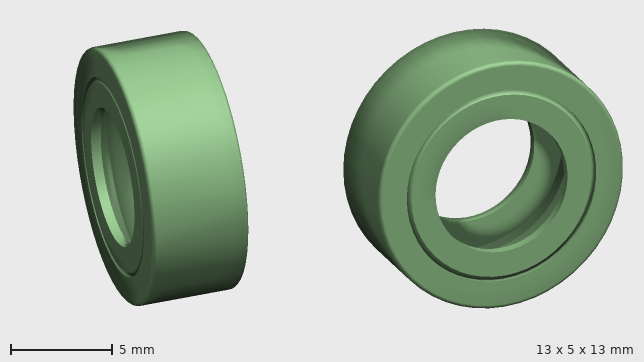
import cadquery as cq

outer_radius = 6.5
width = 5.0
rim_fillet = 0.2
half_width = width / 2

bore_radius = 3.5
shield_thickness = 0.5
seat_radius = 5.025
shield_bevel = 0.24

land_radius = 4.975
groove_half_width = 1.2
groove_depth = 0.65


def revolve_about_y(profile):
    return profile.close().revolve(360, (0, 0, 0), (0, 1, 0))


def make_body():
    disc = cq.Workplane("XZ", origin=(0, half_width, 0)).circle(outer_radius).extrude(width)
    rounded_disc = disc.edges().fillet(rim_fillet)
    return rounded_disc.faces("<Y").workplane().circle(bore_radius).cutThruAll()


def make_raceway_cavity():
    cavity_half_width = half_width - shield_thickness
    profile = (
        cq.Workplane("XY")
        .moveTo(0, -cavity_half_width)
        .lineTo(land_radius, -cavity_half_width)
        .lineTo(land_radius, -groove_half_width)
        .threePointArc((land_radius + groove_depth, 0), (land_radius, groove_half_width))
        .lineTo(land_radius, cavity_half_width)
        .lineTo(0, cavity_half_width)
    )
    return revolve_about_y(profile)


def make_bevel_groove(side):
    """V-groove left between the ring and the bevelled rim of one shield."""
    face = side * half_width
    profile = (
        cq.Workplane("XY")
        .moveTo(seat_radius - shield_bevel, face)
        .lineTo(seat_radius, face)
        .lineTo(seat_radius, face - side * shield_bevel)
    )
    return revolve_about_y(profile)


result = make_body().cut(make_raceway_cavity())
for side in (-1, 1):
    result = result.cut(make_bevel_groove(side))